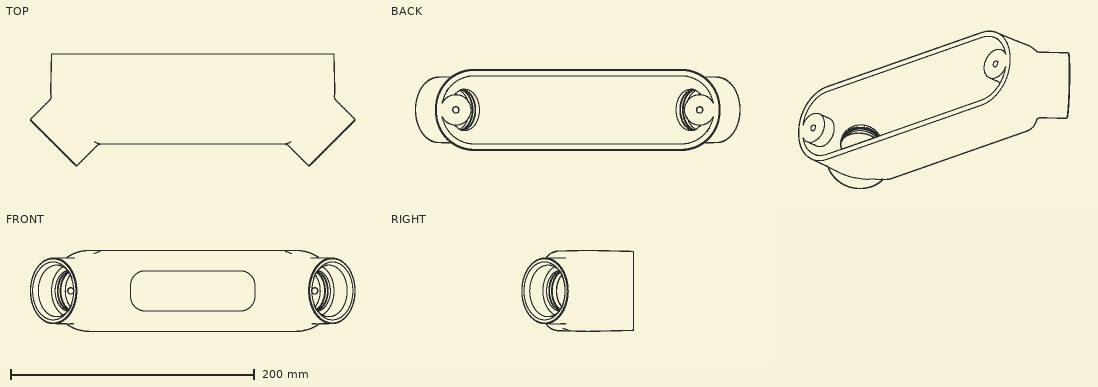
import cadquery as cq
import math

overall_length = 266.4
overall_depth = 91.86
body_height = 66.67

body_length = 233.6
body_depth = 74.0
parting_depth = 37.5
draft_angle = 1.35
end_radius = 32.0
bottom_fillet = 12.7
shoulder_fillet = 12.7
wall = 4.5
cavity_shoulder_fillet = 8.0

hub_angle = 45.0
hub_diameter = 53.98
hub_length = 24.5
hub_edge_chamfer = 0.6
hub_root_fillet = 4.5
root_tolerance = 0.01

mouth_diameter = 47.6
mouth_depth = 4.0
thread_diameter = 42.32
stop_depth = 19.3
throat_diameter = 33.88
groove_diameter = 35.5
groove_start_depth = 22.7
groove_end_depth = 25.9
bore_depth = 31.0

label_length = 102.0
label_height = 33.0
label_corner_radius = 12.0
label_depth = 0.8

screw_diameter = 4.98
screw_offset = 100.0
screw_boss_diameter = 25.0
screw_boss_depth = 12.0

hub_radius = hub_diameter / 2
tilt = math.radians(hub_angle)

rim_x = max(
    hub_radius * math.sin(tilt) - hub_edge_chamfer * math.cos(tilt),
    (hub_radius - hub_edge_chamfer) * math.sin(tilt),
)
hub_face_x = overall_length / 2 - rim_x
hub_face_y = -(overall_depth - rim_x)


def section_plane(depth, direction):
    """Plane parallel to the open side, at a depth below it, facing +Y (1) or -Y (-1)."""
    return cq.Plane(origin=(0, -depth, 0), xDir=(1, 0, 0), normal=(0, direction, 0))


def drafted_half(inset, height, direction):
    """Rounded box drafted inward from the parting plane toward +Y or -Y."""
    profile = (
        cq.Sketch()
        .rect(body_length - 2 * inset, body_height - 2 * inset)
        .vertices()
        .fillet(end_radius - inset)
    )
    plane = section_plane(parting_depth, direction)
    return cq.Workplane(plane).placeSketch(profile).extrude(height, taper=draft_angle)


def hub_plane(side, depth):
    """Plane square to a hub axis, at a depth below the hub face, facing outward."""
    outward = (side * math.sin(tilt), -math.cos(tilt), 0)
    origin = (
        side * hub_face_x - outward[0] * depth,
        hub_face_y - outward[1] * depth,
        0,
    )
    return cq.Plane(origin=origin, xDir=(0, 0, 1), normal=outward)


def trim_corners(solid, depth):
    """Cut both lower end corners off square to the hub axes."""
    for side in (-1, 1):
        corner = cq.Workplane(hub_plane(side, depth)).rect(2 * body_length, 2 * body_length)
        solid = solid.cut(corner.extrude(body_length))
    return solid


def body_form(inset, depth, corner_depth, bottom_radius, shoulder_radius):
    """Drafted body form with rounded bottom edges and rounded, trimmed corners."""
    form = drafted_half(inset, parting_depth, 1)
    form = form.union(drafted_half(inset, depth - parting_depth, -1))
    form = form.faces("<Y").edges().fillet(bottom_radius)
    form = trim_corners(form, corner_depth)
    for side in (-1, 1):
        outward = hub_plane(side, 0).zDir
        form = form.faces(cq.selectors.DirectionMinMaxSelector(outward)).edges().fillet(shoulder_radius)
    return form


def make_hub(side):
    """Plain hub cylinder reaching from its face into the trimmed corner."""
    hub = cq.Workplane(hub_plane(side, 0)).circle(hub_radius).extrude(-bore_depth)
    outward = hub_plane(side, 0).zDir
    return hub.faces(cq.selectors.DirectionMinMaxSelector(outward)).chamfer(hub_edge_chamfer)


def make_bore(side):
    """Stepped hub bore, revolved about the hub axis."""
    face = hub_plane(side, 0)
    along_axis = cq.Plane(origin=face.origin, xDir=face.xDir, normal=face.xDir.cross(face.zDir))
    profile = [
        (0, 0),
        (mouth_diameter / 2, 0),
        (thread_diameter / 2, -mouth_depth),
        (thread_diameter / 2, -stop_depth),
        (throat_diameter / 2, -stop_depth),
        (throat_diameter / 2, -groove_start_depth),
        (groove_diameter / 2, -groove_start_depth),
        (groove_diameter / 2, -groove_end_depth),
        (throat_diameter / 2, -groove_end_depth),
        (throat_diameter / 2, -bore_depth),
        (0, -bore_depth),
    ]
    section = cq.Workplane(along_axis).polyline(profile).close()
    return section.revolve(360, (0, 0, 0), (0, 1, 0))


def is_hub_root(edge, side):
    """True for a curved edge on the hub cylinder, in the inner half of its length or deeper."""
    face = hub_plane(side, 0)
    for point in edge.positions([0, 0.25, 0.5, 0.75]):
        local = face.toLocalCoords(point)
        off_axis = math.hypot(local.x, local.y)
        if abs(off_axis - hub_radius) > root_tolerance or local.z > -hub_length / 2:
            return False
    return edge.geomType() != "LINE"


def add_hubs(solid):
    """Join both hubs to the body with filleted roots."""
    for side in (-1, 1):
        solid = solid.union(make_hub(side))
        solid = solid.edges().filter(lambda edge: is_hub_root(edge, side)).fillet(hub_root_fillet)
    return solid


def screw_bosses(bounds):
    """Cover screw bosses in both ends of the open side, kept within the body form."""
    points = [(-screw_offset, 0), (screw_offset, 0)]
    open_side = cq.Workplane(section_plane(0, -1)).pushPoints(points)
    bosses = open_side.circle(screw_boss_diameter / 2).extrude(screw_boss_depth).intersect(bounds)
    return bosses.cut(open_side.circle(screw_diameter / 2).extrude(screw_boss_depth))


def label_recess():
    """Rounded rectangular recess centred on the bottom face."""
    outline = cq.Sketch().rect(label_length, label_height).vertices().fillet(label_corner_radius)
    return cq.Workplane(section_plane(body_depth, 1)).placeSketch(outline).extrude(label_depth)


outer_form = body_form(0, body_depth, hub_length, bottom_fillet, shoulder_fillet)
cavity = body_form(wall, body_depth - wall, bore_depth, bottom_fillet - wall, cavity_shoulder_fillet)
result = add_hubs(outer_form).cut(cavity).cut(label_recess())
for end in (-1, 1):
    result = result.cut(make_bore(end))
result = result.union(screw_bosses(outer_form))